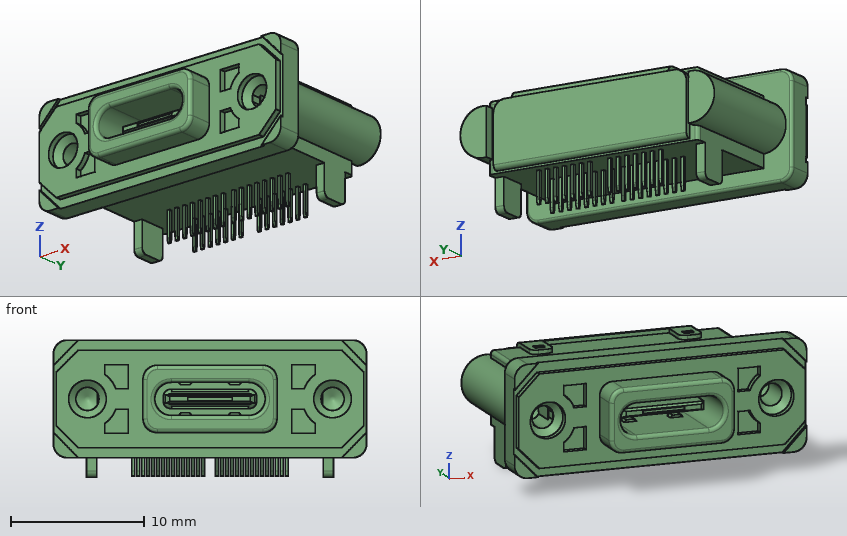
import cadquery as cq


FLANGE_WIDTH = 23.5
FLANGE_HEIGHT = 8.84
FLANGE_CORNER_RADIUS = 1.05
FLANGE_BACK_FILLET = 0.24
CORNER_FRONT = 2.23
FLANGE_FRONT = 2.0
RECESS_CUT_X = 1.88
RECESS_CUT_Z = 1.93

PAD_WIDTH = 23.03
PAD_HEIGHT = 7.33
PAD_CUT = 1.65
PAD_FRONT = 2.51

NOSE_WIDTH = 10.05
NOSE_HEIGHT = 5.05
NOSE_CORNER_RADIUS = 1.05
NOSE_FRONT = 4.75
LIP_FILLET = 0.3

CAVITY_WIDTH = 8.27
CAVITY_HEIGHT = 2.47
CAVITY_DEPTH = 7.05
TONGUE_BASE_WIDTH = 7.0
TONGUE_BASE_HEIGHT = 1.45
TONGUE_BASE_LENGTH = 1.4
TONGUE_BASE_RADIUS = 0.56
TONGUE_BASE_CHAMFER = 0.33
SHIELD_WIDTH = 5.73
SHIELD_THICKNESS = 0.19
TONGUE_WIDTH = 6.67
TONGUE_HEIGHT = 0.65
TONGUE_LENGTH = 5.17
TONGUE_TIP_CHAMFER_Z = 0.15
TONGUE_TIP_CHAMFER_X = 0.3
TIP_GROOVE_WIDTH = 3.34
TIP_GROOVE_HEIGHT = 0.24
TIP_GROOVE_DEPTH = 0.1
DIMPLE_X = 1.85
DIMPLE_WIDTH = 0.99
DIMPLE_HEIGHT = 0.19
DIMPLE_LENGTH = 0.7
DIMPLE_DEPTH = 4.0
DIMPLE_SLOPE = 0.16

POST_X = 9.2
POST_RADIUS = 2.02
POST_BACK = 10.2
POST_INNER_X = 8.9
HOLE_RADIUS = 0.87
HOLE_DEPTH = 3.75
HOLE_TIP_DEPTH = 0.52
HOLE_FLAT_OFFSET = 0.82
HOLE_DEEP_FLAT_OFFSET = 0.73
HOLE_LEDGE_DEPTH = 1.88
COUNTERBORE_RADIUS = 1.4
COUNTERBORE_DEPTH = 0.52

POCKET_INNER_X = 6.1
POCKET_OUTER_X = 7.9
POCKET_NEAR_Z = 0.78
POCKET_FAR_Z = 2.55
POCKET_CLEARANCE_RADIUS = 2.25
POCKET_DEPTH = 0.5

BODY_WIDTH = 18.52
BODY_TOP = 2.6
BODY_BOTTOM = -3.15
BODY_BACK = 9.35
BODY_FILLET = 0.3

COVER_WIDTH = 17.01
COVER_BACK = 9.82
COVER_BOTTOM = -2.95
COVER_SHOULDER = 2.45
COVER_CORNER_RADIUS = 0.99
COVER_BOTTOM_FILLET = 0.4
BEND_WIDTH = 13.82
BEND_FRONT = 9.05
BEND_RADIUS = 0.6
COVER_TOP = 2.94

TAB_WIDTH = 1.83
TAB_FRONT = 6.7
TAB_CORNER_RADIUS = 0.55
LATCH_WIDTH = 0.7
LATCH_FRONT = 7.28
LATCH_BACK = 7.87
LATCH_RAMP = 0.19
LATCH_HEIGHT = 0.07

LEG_WIDTH = 0.78
LEG_FRONT = 5.92
LEG_BACK = 8.37
LEG_CORNER_RADIUS = 0.5
LEG_BOTTOM = -5.88
PIN_SIZE = 0.24
PINS_PER_BANK = 15
PIN_BANK_INNER_X = 0.52
PIN_BANK_OUTER_X = 5.75
PIN_BOTTOM = -5.78
PIN_FRONT_ROW = 5.85
PIN_BACK_ROW = 8.4
PIN_TIP_HEIGHT = 0.4
PIN_TIP_CUT = 0.05


def box(x0, x1, y0, y1, z0, z1):
    return cq.Workplane("XY").box(x1 - x0, y1 - y0, z1 - z0, centered=False).translate((x0, y0, z0))


def facing_front(y):
    """Sketch plane at y whose extrusions run toward -Y."""
    return cq.Workplane("XZ", origin=(0, y, 0))


def octagon(plane, width, height, cut_x, cut_z, depth):
    half_x = width / 2
    half_z = height / 2
    return (
        plane.moveTo(-half_x + cut_x, half_z)
        .lineTo(half_x - cut_x, half_z)
        .lineTo(half_x, half_z - cut_z)
        .lineTo(half_x, -half_z + cut_z)
        .lineTo(half_x - cut_x, -half_z)
        .lineTo(-half_x + cut_x, -half_z)
        .lineTo(-half_x, -half_z + cut_z)
        .lineTo(-half_x, half_z - cut_z)
        .close()
        .extrude(depth)
    )


def both_sides(solid):
    return solid.union(solid.mirror("YZ"))


def make_flange():
    flange = (
        facing_front(0)
        .rect(FLANGE_WIDTH, FLANGE_HEIGHT)
        .extrude(CORNER_FRONT)
        .edges("|Y")
        .fillet(FLANGE_CORNER_RADIUS)
        .faces(">Y")
        .edges()
        .fillet(FLANGE_BACK_FILLET)
    )
    recess = octagon(
        facing_front(-FLANGE_FRONT),
        FLANGE_WIDTH, FLANGE_HEIGHT, RECESS_CUT_X, RECESS_CUT_Z,
        CORNER_FRONT - FLANGE_FRONT,
    )
    pad = octagon(
        facing_front(-FLANGE_FRONT),
        PAD_WIDTH, PAD_HEIGHT, PAD_CUT, PAD_CUT,
        PAD_FRONT - FLANGE_FRONT,
    )
    return flange.cut(recess).union(pad)


def make_nose():
    return (
        facing_front(-FLANGE_FRONT)
        .rect(NOSE_WIDTH, NOSE_HEIGHT)
        .extrude(NOSE_FRONT - FLANGE_FRONT)
        .edges("|Y")
        .fillet(NOSE_CORNER_RADIUS)
        .faces("<Y")
        .edges()
        .fillet(LIP_FILLET)
    )


def make_body():
    body = box(-BODY_WIDTH / 2, BODY_WIDTH / 2, -FLANGE_FRONT / 2, BODY_BACK, BODY_BOTTOM, BODY_TOP)
    return body.edges("(|Y and >Z) or (>Y and (not <Z))").fillet(BODY_FILLET)


def make_posts():
    post = facing_front(POST_BACK).center(POST_X, 0).circle(POST_RADIUS).extrude(POST_BACK)
    relief = box(0, POST_INNER_X, BODY_BACK, POST_BACK, -POST_RADIUS, POST_RADIUS)
    return both_sides(post.cut(relief))


def make_screw_holes():
    """Counterbored blind holes with a 45 degree step and a conical end."""
    step_y = -PAD_FRONT + COUNTERBORE_DEPTH
    end_y = -PAD_FRONT + HOLE_DEPTH
    hole = (
        cq.Workplane("XY")
        .moveTo(0, -PAD_FRONT)
        .lineTo(COUNTERBORE_RADIUS, -PAD_FRONT)
        .lineTo(COUNTERBORE_RADIUS, step_y)
        .lineTo(HOLE_RADIUS, step_y + COUNTERBORE_RADIUS - HOLE_RADIUS)
        .lineTo(HOLE_RADIUS, end_y)
        .lineTo(0, end_y + HOLE_TIP_DEPTH)
        .close()
        .revolve(360, (0, 0, 0), (0, 1, 0))
        .translate((POST_X, 0, 0))
    )
    for offset, start_depth in (
        (HOLE_FLAT_OFFSET, COUNTERBORE_DEPTH + COUNTERBORE_RADIUS - HOLE_RADIUS),
        (HOLE_DEEP_FLAT_OFFSET, HOLE_LEDGE_DEPTH),
    ):
        flat_x = POST_X - offset
        start_y = -PAD_FRONT + start_depth
        hole = hole.cut(box(0, flat_x, start_y, POST_BACK, -HOLE_RADIUS, HOLE_RADIUS))
    return both_sides(hole)


def make_pockets():
    y0 = -PAD_FRONT
    y1 = y0 + POCKET_DEPTH
    pocket = box(POCKET_INNER_X, POCKET_OUTER_X, y0, y1, POCKET_NEAR_Z, POCKET_FAR_Z)
    pocket = pocket.union(pocket.mirror("XY"))
    wall = facing_front(y1).center(POST_X, 0).circle(POCKET_CLEARANCE_RADIUS).extrude(POCKET_DEPTH)
    return both_sides(pocket.cut(wall))


def make_back_cover():
    half = COVER_WIDTH / 2
    plate = box(-half, half, BODY_BACK - BODY_FILLET, COVER_BACK, COVER_BOTTOM, COVER_SHOULDER)
    plate = plate.edges("|Y and >Z").fillet(COVER_CORNER_RADIUS)
    plate = plate.edges(">Y and <Z").fillet(COVER_BOTTOM_FILLET)

    bend_z0 = COVER_SHOULDER - COVER_CORNER_RADIUS
    bend = box(-BEND_WIDTH / 2, BEND_WIDTH / 2, BEND_FRONT, COVER_BACK, bend_z0, COVER_TOP)
    bend = bend.edges(">Y and >Z").fillet(BEND_RADIUS)

    tab = box(BEND_WIDTH / 2 - TAB_WIDTH, BEND_WIDTH / 2, TAB_FRONT, BEND_FRONT, BODY_TOP, COVER_TOP)
    tab = tab.edges("|Z and <Y").fillet(TAB_CORNER_RADIUS)
    return plate.union(bend).union(both_sides(tab)).union(make_latches())


def make_latches():
    tab_x = (BEND_WIDTH - TAB_WIDTH) / 2
    latch = (
        cq.Workplane("YZ", origin=(tab_x - LATCH_WIDTH / 2, 0, 0))
        .moveTo(LATCH_FRONT, BODY_TOP)
        .lineTo(LATCH_FRONT, COVER_TOP + LATCH_HEIGHT)
        .lineTo(LATCH_BACK - LATCH_RAMP, COVER_TOP + LATCH_HEIGHT)
        .lineTo(LATCH_BACK, COVER_TOP)
        .lineTo(LATCH_BACK, BODY_TOP)
        .close()
        .extrude(LATCH_WIDTH)
    )
    return both_sides(latch)


def make_legs():
    outer = BODY_WIDTH / 2
    leg = box(outer - LEG_WIDTH, outer, LEG_FRONT, LEG_BACK, LEG_BOTTOM, 0)
    return both_sides(leg.edges("|X and <Z").fillet(LEG_CORNER_RADIUS))


def make_pins():
    pitch = (PIN_BANK_OUTER_X - PIN_BANK_INNER_X) / (PINS_PER_BANK - 1)
    tip_size = PIN_SIZE - 2 * PIN_TIP_CUT
    shaft_bottom = PIN_BOTTOM + PIN_TIP_HEIGHT
    root_overlap = PIN_SIZE
    pins = cq.Workplane("XY")
    for index in range(PINS_PER_BANK):
        x = PIN_BANK_INNER_X + index * pitch
        y = PIN_BACK_ROW if index % 2 else PIN_FRONT_ROW
        shaft = (
            cq.Workplane("XY", origin=(x, y, shaft_bottom))
            .rect(PIN_SIZE, PIN_SIZE)
            .extrude(BODY_BOTTOM - shaft_bottom + root_overlap)
        )
        tip = (
            cq.Workplane("XY", origin=(x, y, PIN_BOTTOM))
            .rect(PIN_SIZE, tip_size)
            .workplane(offset=PIN_TIP_HEIGHT)
            .rect(PIN_SIZE, PIN_SIZE)
            .loft()
        )
        pins = pins.union(shaft).union(tip)
    return both_sides(pins)


def make_cavity():
    floor_y = CAVITY_DEPTH - NOSE_FRONT
    return facing_front(floor_y).slot2D(CAVITY_WIDTH, CAVITY_HEIGHT).extrude(CAVITY_DEPTH)


def make_tongue():
    floor_y = CAVITY_DEPTH - NOSE_FRONT
    tip_y = floor_y - TONGUE_LENGTH
    base = (
        facing_front(floor_y)
        .rect(TONGUE_BASE_WIDTH, TONGUE_BASE_HEIGHT)
        .extrude(TONGUE_BASE_LENGTH)
        .edges("|Y")
        .fillet(TONGUE_BASE_RADIUS)
        .faces("<Y")
        .edges()
        .chamfer(TONGUE_BASE_CHAMFER)
    )
    shield_top = TONGUE_BASE_HEIGHT / 2
    shield = box(
        -SHIELD_WIDTH / 2, SHIELD_WIDTH / 2,
        floor_y - TONGUE_BASE_LENGTH, floor_y,
        shield_top - SHIELD_THICKNESS, shield_top,
    )
    shields = shield.union(shield.mirror("XY"))
    tongue = facing_front(floor_y).rect(TONGUE_WIDTH, TONGUE_HEIGHT).extrude(TONGUE_LENGTH)
    tongue = tongue.cut(make_tip_chamfer_waste(tip_y))
    groove = (
        facing_front(tip_y + TIP_GROOVE_DEPTH)
        .rect(TIP_GROOVE_WIDTH, TIP_GROOVE_HEIGHT)
        .extrude(TIP_GROOVE_DEPTH)
    )
    return base.union(shields).union(tongue).cut(groove)


def make_tip_chamfer_waste(tip_y):
    """Frame around the tongue's tip that leaves it tapered on all four sides."""
    block = facing_front(tip_y + TONGUE_TIP_CHAMFER_X).rect(TONGUE_WIDTH, TONGUE_HEIGHT)
    block = block.extrude(TONGUE_TIP_CHAMFER_X)
    taper = (
        facing_front(tip_y + TONGUE_TIP_CHAMFER_X)
        .rect(TONGUE_WIDTH, TONGUE_HEIGHT)
        .workplane(offset=TONGUE_TIP_CHAMFER_X)
        .rect(TONGUE_WIDTH - 2 * TONGUE_TIP_CHAMFER_X, TONGUE_HEIGHT - 2 * TONGUE_TIP_CHAMFER_Z)
        .loft()
    )
    return block.cut(taper)


def make_dimples():
    y0 = -NOSE_FRONT + DIMPLE_DEPTH
    wall_z = CAVITY_HEIGHT / 2
    half = DIMPLE_WIDTH / 2
    dimple = (
        facing_front(y0 + DIMPLE_LENGTH)
        .moveTo(DIMPLE_X - half, wall_z)
        .lineTo(DIMPLE_X + half, wall_z)
        .lineTo(DIMPLE_X + half - DIMPLE_SLOPE, wall_z - DIMPLE_HEIGHT)
        .lineTo(DIMPLE_X - half + DIMPLE_SLOPE, wall_z - DIMPLE_HEIGHT)
        .close()
        .extrude(DIMPLE_LENGTH)
    )
    dimple = dimple.union(dimple.mirror("XY"))
    return both_sides(dimple)


def round_cavity_rim(connector):
    reach_x = CAVITY_WIDTH / 2 + LIP_FILLET
    reach_z = CAVITY_HEIGHT / 2 + LIP_FILLET
    rim = cq.selectors.BoxSelector(
        (-reach_x, -NOSE_FRONT - LIP_FILLET, -reach_z),
        (reach_x, -NOSE_FRONT + LIP_FILLET, reach_z),
    )
    return connector.faces("<Y").edges(rim).fillet(LIP_FILLET)


result = make_flange().union(make_nose()).union(make_body()).union(make_posts())
result = result.cut(make_screw_holes()).cut(make_pockets()).cut(make_cavity())
result = round_cavity_rim(result)
result = result.union(make_tongue()).union(make_dimples())
result = result.union(make_back_cover()).union(make_legs()).union(make_pins())